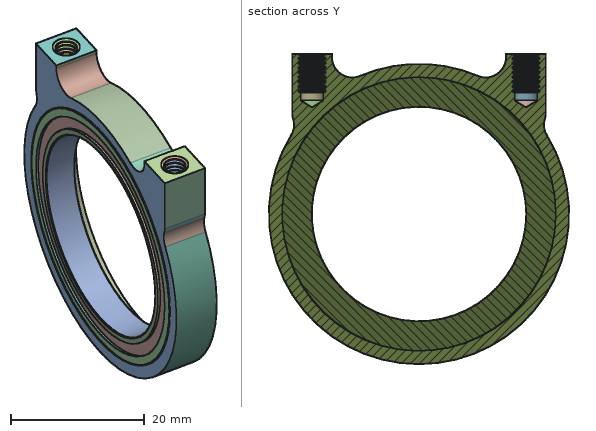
import cadquery as cq
import math

thickness = 7.0
ring_radius = 22.5
block_top = 24.0
block_outer_x = 19.0
block_inner_x = 13.0
blend_radius = 3.0
waist_height = 13.35

bearing_radius = 20.45
bearing_width = 5.0
lip_radius = 19.0
bore_radius = 16.05
bearing_chamfer = 0.15
recess_outer_radius = 19.0
recess_inner_radius = 17.0
recess_depth = 0.4

hole_x = (block_inner_x + block_outer_x) / 2
thread_major_radius = 2.05
thread_minor_radius = 1.67
thread_pitch = 0.7
thread_root_width = 0.1
thread_mouth_width = 0.5
groove_count = 8
hole_depth = 6.98
drill_point_angle = 118.0


def on_circle(center, radius, angle):
    """Point at an angle (radians, counter-clockwise from +X) on a circle in the XZ plane."""
    return (center[0] + radius * math.cos(angle), center[1] + radius * math.sin(angle))


def mirrored(point):
    return (-point[0], point[1])


def housing_outline():
    """Closed outline of ring and blocks, clockwise from where the -X notch meets the ring."""
    blend_orbit = ring_radius + blend_radius

    notch_x = block_inner_x - blend_radius
    notch = (notch_x, math.sqrt(blend_orbit**2 - notch_x**2))
    notch_angle = math.atan2(notch[1], notch[0])
    notch_foot = on_circle(notch, blend_radius, notch_angle - math.pi)
    notch_middle = on_circle(notch, blend_radius, (notch_angle - math.pi) / 2)
    notch_top = on_circle(notch, blend_radius, 0)

    waist = (math.sqrt(blend_orbit**2 - waist_height**2), waist_height)
    waist_angle = math.atan2(waist[1], waist[0])
    shoulder_x = block_outer_x - blend_radius
    shoulder_rise = math.sqrt((2 * blend_radius) ** 2 - (waist[0] - shoulder_x) ** 2)
    shoulder = (shoulder_x, waist_height + shoulder_rise)
    shoulder_angle = -math.atan2(shoulder_rise, waist[0] - shoulder_x)
    shoulder_top = on_circle(shoulder, blend_radius, 0)
    shoulder_middle = on_circle(shoulder, blend_radius, shoulder_angle / 2)
    shoulder_end = on_circle(shoulder, blend_radius, shoulder_angle)
    waist_middle = on_circle(waist, blend_radius, math.pi + (shoulder_angle + waist_angle) / 2)
    waist_foot = on_circle(waist, blend_radius, math.pi + waist_angle)

    block_inner_corner = (block_inner_x, block_top)
    block_outer_corner = (block_outer_x, block_top)

    return (
        cq.Workplane("XZ", origin=(0, thickness / 2, 0))
        .moveTo(*mirrored(notch_foot))
        .threePointArc((0, ring_radius), notch_foot)
        .threePointArc(notch_middle, notch_top)
        .lineTo(*block_inner_corner)
        .lineTo(*block_outer_corner)
        .lineTo(*shoulder_top)
        .threePointArc(shoulder_middle, shoulder_end)
        .threePointArc(waist_middle, waist_foot)
        .threePointArc((0, -ring_radius), mirrored(waist_foot))
        .threePointArc(mirrored(waist_middle), mirrored(shoulder_end))
        .threePointArc(mirrored(shoulder_middle), mirrored(shoulder_top))
        .lineTo(*mirrored(block_outer_corner))
        .lineTo(*mirrored(block_inner_corner))
        .lineTo(*mirrored(notch_top))
        .threePointArc(mirrored(notch_middle), mirrored(notch_foot))
        .close()
    )


def threaded_hole():
    """Blind hole cutter with ring-shaped thread grooves and a conical tip, its mouth at the XY plane."""
    tip_depth = thread_minor_radius / math.tan(math.radians(drill_point_angle / 2))
    profile = cq.Workplane("XZ").lineTo(thread_major_radius, 0)
    for groove in range(groove_count):
        groove_center = -groove * thread_pitch
        next_center = groove_center - thread_pitch
        profile = (
            profile.lineTo(thread_major_radius, groove_center - thread_root_width / 2)
            .lineTo(thread_minor_radius, groove_center - thread_mouth_width / 2)
            .lineTo(thread_minor_radius, next_center + thread_mouth_width / 2)
            .lineTo(thread_major_radius, next_center + thread_root_width / 2)
        )
    last_center = -groove_count * thread_pitch
    return (
        profile.lineTo(thread_major_radius, last_center - thread_root_width / 2)
        .lineTo(thread_minor_radius, last_center - thread_mouth_width / 2)
        .lineTo(thread_minor_radius, -hole_depth)
        .lineTo(0, -hole_depth - tip_depth)
        .close()
        .revolve(360, (0, 0), (0, 1))
    )


def cylinder(radius, length):
    """Cylinder around the Y axis that starts at the -Y face and runs towards +Y."""
    return cq.Workplane("XZ", origin=(0, -thickness / 2, 0)).circle(radius).extrude(-length)


def make_housing():
    body = housing_outline().extrude(thickness)
    body = body.cut(cylinder(bearing_radius, bearing_width))
    body = body.cut(cylinder(lip_radius, thickness))
    for side in (-1, 1):
        hole_mouth = (side * hole_x, 0, block_top)
        body = body.cut(threaded_hole().translate(hole_mouth))
    return body


def make_bearing():
    """Ring with chamfered edges and a shallow annular recess in both faces."""
    body = cylinder(bearing_radius, bearing_width).cut(cylinder(bore_radius, bearing_width))
    body = body.edges("%CIRCLE").chamfer(bearing_chamfer)
    recess = cylinder(recess_outer_radius, recess_depth).cut(cylinder(recess_inner_radius, recess_depth))
    back_recess = recess.translate((0, bearing_width - recess_depth, 0))
    return body.cut(recess).cut(back_recess)


housing = make_housing()
bearing = make_bearing()
result = cq.Compound.makeCompound([housing.val(), bearing.val()])